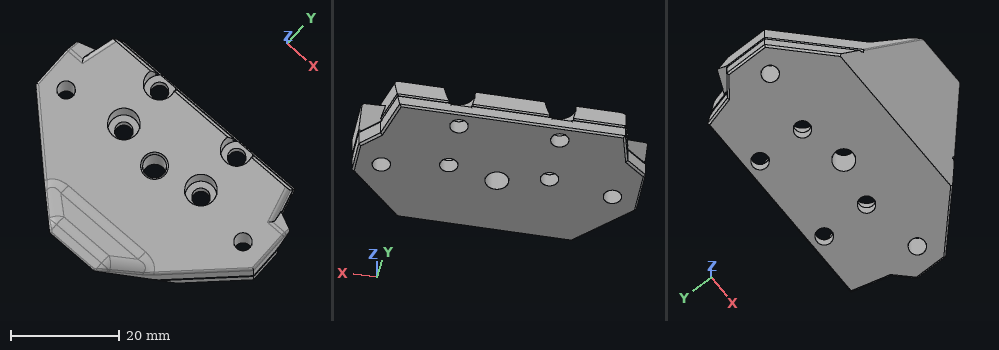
import cadquery as cq
import math

HALF_WIDTH = 26.8
BOTTOM_BACK_Y = 15.45
BACK_LEAN = 15.0
BOTTOM_FRONT_Y = -12.25
FRONT_LEAN = 38.0
PART_HEIGHT = 14.4
DECK_HEIGHT = 9.05
SPLIT_HEIGHT = 3.8

SIDE_FRONT_Y = -2.75
DIAGONAL_ANGLE = 43.9
FLANK_BACK_HALF_WIDTH = 21.2
FLANK_ANGLE = 15.0

EAR_TOP_Y = 6.15
LEFT_EAR_CORNER_Y = 6.25
LEFT_EAR_ANGLE = 37.5
RIGHT_EAR_CORNER_Y = 4.05
RIGHT_EAR_ANGLE = 45.0

LIP_TOP_HALF_WIDTH = 6.7
LIP_TOP_BACK_Y = -19.95
LIP_SIDE_RUN = 1.1

LIP_RADIUS = 3.0
FLANK_RADIUS = 1.0
RIM_RADIUS = 0.5
NOSE_RADIUS = 0.3
SIDE_CHAMFER = 0.4

BOLT_DIAMETER = 3.4
BOLT_HEAD_DIAMETER = 6.0
BOLT_HEAD_FLOOR = 3.0
BOLT_X = 9.5
BOLT_Y = (2.2, 12.2)
SIDE_HOLE_X = 21.75
CENTRE_DIAMETER = 4.4
CENTRE_CHAMFER = 0.4

SIDES = (-1, 1)
FAR = 107.2
TOLERANCE = 0.0005

DIAGONAL_SLOPE = math.tan(math.radians(DIAGONAL_ANGLE))
FLANK_SLOPE = math.tan(math.radians(FLANK_ANGLE))


def half_space(point, normal):
    """Large block filling everything on the side of the plane that the normal points to."""
    plane = cq.Plane(origin=point, normal=normal)
    return cq.Workplane(plane).rect(FAR, FAR).extrude(FAR)


def lean_normal(angle, y_sign):
    """Outward normal of a face leaning by angle; it looks upward for a positive angle."""
    lean = math.radians(angle)
    return cq.Vector(0, y_sign * math.cos(lean), math.sin(lean))


EAR_BACKS = {
    -1: (LEFT_EAR_CORNER_Y, LEFT_EAR_ANGLE),
    1: (RIGHT_EAR_CORNER_Y, RIGHT_EAR_ANGLE),
}
FRONT_POINT = cq.Vector(0, BOTTOM_FRONT_Y, 0)
FRONT_NORMAL = lean_normal(-FRONT_LEAN, -1)
BACK_NORMAL = lean_normal(BACK_LEAN, 1)


def flank_x(y):
    return FLANK_BACK_HALF_WIDTH + (BOTTOM_BACK_Y - y) * FLANK_SLOPE


def plan_block(bottom, top):
    """Prism over the wide plan outline, cut by the leaning front and back faces."""
    diagonal_end_y = SIDE_FRONT_Y - HALF_WIDTH * DIAGONAL_SLOPE
    outline = [
        (-HALF_WIDTH, BOTTOM_BACK_Y),
        (-HALF_WIDTH, SIDE_FRONT_Y),
        (0, diagonal_end_y),
        (HALF_WIDTH, SIDE_FRONT_Y),
        (HALF_WIDTH, BOTTOM_BACK_Y),
    ]
    block = cq.Workplane().workplane(offset=bottom).polyline(outline).close().extrude(top - bottom)
    block = block.cut(half_space(FRONT_POINT, FRONT_NORMAL))
    return block.cut(half_space((0, BOTTOM_BACK_Y, 0), BACK_NORMAL))


def outside_flank(side):
    """Space beyond one flank; side is -1 for left and 1 for right."""
    front_y = 0
    outline = [
        (side * flank_x(front_y), front_y),
        (side * FAR, front_y),
        (side * FAR, BOTTOM_BACK_Y),
        (side * flank_x(BOTTOM_BACK_Y), BOTTOM_BACK_Y),
    ]
    return cq.Workplane().polyline(outline).close().extrude(PART_HEIGHT)


def ear_back_plane(side, overhang):
    """Point and normal of an ear's back; an overhanging back leans by 45 degrees in YZ."""
    corner_y, angle = EAR_BACKS[side]
    normal = (side * math.tan(math.radians(angle)), 1, -1 if overhang else 0)
    return (side * HALF_WIDTH, corner_y, SPLIT_HEIGHT + SIDE_CHAMFER), normal


def ear_back(side, overhang):
    """Space behind an ear."""
    return outside_flank(side).intersect(half_space(*ear_back_plane(side, overhang)))


def lip_space():
    """Deck slab plus the lip, with rounded lip edges and a round foot."""
    rise = PART_HEIGHT - DECK_HEIGHT
    half_length = FAR / 2
    deck = cq.Workplane().box(FAR, FAR, DECK_HEIGHT, centered=(True, True, False))
    lip = cq.Workplane().box(FAR, half_length, rise, centered=(True, False, False))
    lip = lip.translate((0, -half_length, DECK_HEIGHT))
    lip = lip.cut(half_space((0, LIP_TOP_BACK_Y, PART_HEIGHT), (0, 1, 1)))
    for side in SIDES:
        side_normal = (side, 0, LIP_SIDE_RUN)
        lip = lip.cut(half_space((side * LIP_TOP_HALF_WIDTH, 0, PART_HEIGHT), side_normal))
    lip = lip.faces(">Y or >Z").edges("not(<Z or <Y)").fillet(LIP_RADIUS)

    inner = half_length / 2
    foot = cq.selectors.BoxSelector(
        (-inner, -inner, DECK_HEIGHT - TOLERANCE),
        (inner, inner, DECK_HEIGHT + TOLERANCE),
    )
    return deck.union(lip).edges(foot).fillet(LIP_RADIUS)


def pick_edges(shape, is_wanted):
    """Select the edges for which is_wanted gives True."""
    return shape.newObject([edge for edge in shape.edges().vals() if is_wanted(edge)])


def lies_on(edge, point, normal):
    """True when the middle of the edge lies on the plane."""
    normal = cq.Vector(normal)
    return abs((edge.Center() - cq.Vector(point)).dot(normal)) < TOLERANCE * normal.Length


def on_front(edge):
    return lies_on(edge, FRONT_POINT, FRONT_NORMAL)


def round_ears(body):
    """Cut the sloping ear tops beside the flanks and round their edges with the deck."""
    ear_slope = half_space((0, EAR_TOP_Y, DECK_HEIGHT), (0, 1, 1))
    for side in SIDES:
        body = body.cut(outside_flank(side).intersect(ear_slope))

    def is_ear_or_flank_edge(edge):
        box = edge.BoundingBox()
        is_back_edge = box.ylen < TOLERANCE and box.ymin > EAR_TOP_Y + TOLERANCE
        starts_at_ear = box.ymin > EAR_TOP_Y - TOLERANCE
        return box.zmin > DECK_HEIGHT - TOLERANCE and starts_at_ear and not is_back_edge

    return pick_edges(body, is_ear_or_flank_edge).fillet(FLANK_RADIUS)


def on_straight_or_diagonal_side(edge):
    side_normals = [(1, 0), (DIAGONAL_SLOPE, -1)]
    return any(
        lies_on(edge, (side * HALF_WIDTH, SIDE_FRONT_Y, 0), (side * x, y, 0))
        for side in SIDES
        for x, y in side_normals
    )


def round_rim(body):
    """Round the top edges of the straight and diagonal sides."""

    def is_rim_edge(edge):
        box = edge.BoundingBox()
        is_upright = max(box.xlen, box.ylen) < TOLERANCE
        is_bottom = box.zmax < SPLIT_HEIGHT + TOLERANCE
        return on_straight_or_diagonal_side(edge) and not (is_upright or is_bottom or on_front(edge))

    return pick_edges(body, is_rim_edge).fillet(RIM_RADIUS)


def chamfer_groove(body):
    """Chamfer the bottom edges of the upper body, but not along its front and ear backs."""

    def is_groove_edge(edge):
        on_ear_back = any(lies_on(edge, *ear_back_plane(side, overhang=True)) for side in SIDES)
        return not (on_front(edge) or on_ear_back)

    return pick_edges(body.faces("<Z"), is_groove_edge).chamfer(SIDE_CHAMFER)


def round_front(body):
    """Round the top and side edges of the front face, above the groove."""

    def is_nose_edge(edge):
        return on_front(edge) and edge.Center().z > SPLIT_HEIGHT + SIDE_CHAMFER

    return pick_edges(body, is_nose_edge).fillet(NOSE_RADIUS)


def upper_body():
    body = plan_block(SPLIT_HEIGHT, PART_HEIGHT).intersect(lip_space())
    body = round_rim(round_ears(body))
    for side in SIDES:
        body = body.cut(ear_back(side, overhang=True))
    return round_front(chamfer_groove(body))


def lower_body():
    body = plan_block(0, SPLIT_HEIGHT)
    for side in SIDES:
        body = body.cut(ear_back(side, overhang=False))
    return pick_edges(body.faces("<Z or >Z"), lambda edge: not on_front(edge)).chamfer(SIDE_CHAMFER)


def drill(body):
    """Counterbored bolt holes, side holes and the chamfered centre hole, all through."""
    bolt_places = [(side * BOLT_X, y) for side in SIDES for y in BOLT_Y]
    side_places = [(side * SIDE_HOLE_X, 0) for side in SIDES]
    base = cq.Workplane()
    bores = base.pushPoints(bolt_places + side_places).circle(BOLT_DIAMETER / 2).extrude(DECK_HEIGHT)
    heads = (
        base.workplane(offset=BOLT_HEAD_FLOOR)
        .pushPoints(bolt_places)
        .circle(BOLT_HEAD_DIAMETER / 2)
        .extrude(DECK_HEIGHT - BOLT_HEAD_FLOOR)
    )
    centre = base.circle(CENTRE_DIAMETER / 2).extrude(DECK_HEIGHT)
    body = body.cut(bores).cut(heads).cut(centre)
    centre_edge = cq.selectors.BoxSelector(
        (-CENTRE_DIAMETER, -CENTRE_DIAMETER, DECK_HEIGHT - TOLERANCE),
        (CENTRE_DIAMETER, CENTRE_DIAMETER, DECK_HEIGHT + TOLERANCE),
        boundingbox=True,
    )
    return body.edges(centre_edge).chamfer(CENTRE_CHAMFER)


result = drill(lower_body().union(upper_body()))